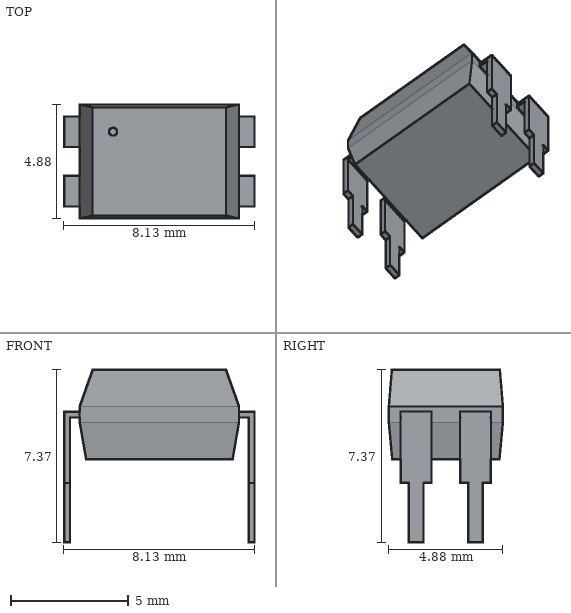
import cadquery as cq

SPAN = 8.13
HEIGHT = 7.37

WAIST_X, WAIST_Y = 6.805, 4.88
TOP_X, TOP_Y = 5.69, 4.62
BOTTOM_X, BOTTOM_Y = 6.26, 4.585
WAIST_HEIGHT = 0.69
TAPER_HEIGHT = 1.57
WAIST_TOP = HEIGHT - TAPER_HEIGHT
WAIST_BOTTOM = WAIST_TOP - WAIST_HEIGHT

LEAD_PITCH = 2.54
LEAD_THICKNESS = 0.25
LEAD_WIDTH = 1.32
TIP_WIDTH = 0.635
LEAD_TOP = 5.58
SHOULDER_Z = 2.54

MARK_DIAMETER = 0.34
MARK_DEPTH = 0.08
MARK_X = -1.975
MARK_Y = LEAD_PITCH / 2


def tapered_block(base_z, base_size, end_z, end_size):
    """Block whose rectangular section changes evenly from base_z to end_z."""
    return (
        cq.Workplane("XY", origin=(0, 0, base_z))
        .rect(*base_size)
        .workplane(offset=end_z - base_z)
        .rect(*end_size)
        .loft(ruled=True)
    )


def make_mark():
    return (
        cq.Workplane("XY", origin=(MARK_X, MARK_Y, HEIGHT - MARK_DEPTH))
        .circle(MARK_DIAMETER / 2)
        .extrude(MARK_DEPTH)
    )


def make_housing():
    waist_size = (WAIST_X, WAIST_Y)
    base = tapered_block(WAIST_BOTTOM - TAPER_HEIGHT, (BOTTOM_X, BOTTOM_Y), WAIST_BOTTOM, waist_size)
    waist = tapered_block(WAIST_BOTTOM, waist_size, WAIST_TOP, waist_size)
    cap = tapered_block(WAIST_TOP, waist_size, HEIGHT, (TOP_X, TOP_Y))
    return base.union(waist).union(cap).cut(make_mark())


def make_lead(side, y):
    """Lead on the -X (side = -1) or +X (side = 1) face, ending against the waist."""
    outer_x = side * SPAN / 2
    inner_x = outer_x - side * LEAD_THICKNESS
    housing_x = side * WAIST_X / 2
    bent_strip = (
        cq.Workplane("XZ", origin=(0, y, 0))
        .moveTo(housing_x, LEAD_TOP)
        .lineTo(outer_x, LEAD_TOP)
        .lineTo(outer_x, SHOULDER_Z)
        .lineTo(inner_x, SHOULDER_Z)
        .lineTo(inner_x, LEAD_TOP - LEAD_THICKNESS)
        .lineTo(housing_x, LEAD_TOP - LEAD_THICKNESS)
        .close()
        .extrude(LEAD_WIDTH / 2, both=True)
    )
    tip = (
        cq.Workplane("XY", origin=((outer_x + inner_x) / 2, y, 0))
        .rect(LEAD_THICKNESS, TIP_WIDTH)
        .extrude(SHOULDER_Z)
    )
    return bent_strip.union(tip)


housing = make_housing()
mark = make_mark()
leads = [make_lead(side, row * LEAD_PITCH / 2) for side in (-1, 1) for row in (-1, 1)]

result = cq.Compound.makeCompound([housing.val(), mark.val(), *[lead.val() for lead in leads]])